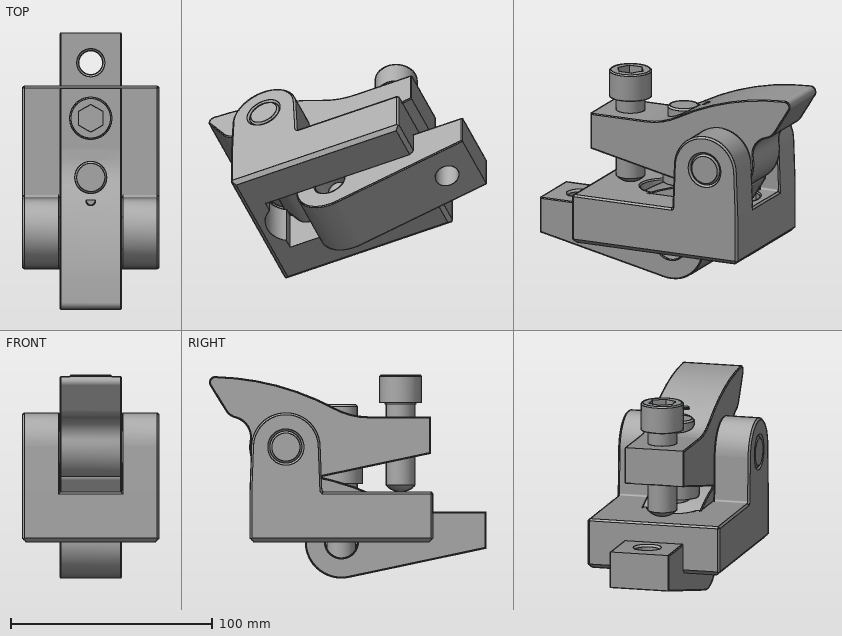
import cadquery as cq
import math


base_width = 68.0
base_back = 73.2
base_front = -17.9
floor_height = 25.0
pivot_height = 47.3
lever_width = 30.5
lever_offset = 27.6
lever_drop = 47.2
pin_diameter = 16.0
pin_chamfer = 1.0

boss_radius = 17.0
boss_draft = 2.5
boss_slot_width = 30.8
edge_chamfer = 1.0
slot_edge_chamfer = 0.7
bottom_chamfer = 2.0
foot_radius = 1.0
bore_chamfer = 1.03
rim_width = 26.0
rim_front = -13.6
rim_back = 51.0
rim_chamfer = 0.7
window_front = -7.2
window_back = 40.2

lever_back = 71.9
lever_top = 15.0
lever_back_bottom = -3.2
heel_radius = 18.0
flat_end = 41.5
crest_start = (24.0, 19.4)
tip_corner = (-40.3, 35.0)
tip_radius = 2.9
throat_radius = 10.0
throat_angle = 170
hook_angle = 91.5
hook_radius = 8.0
lever_chamfer = 0.5
screw_reach = 57.0

screw_diameter = 14.5
head_diameter = 21.0
head_top = 83.0
head_height = 13.6
head_chamfer = 0.7
neck_diameter = 15.4
neck_height = 0.7
hex_flats = 12.0
hex_depth = 6.9
dome_height = 3.3
tapped_diameter = 11.8
countersink_diameter = 14.0

stud_top = 68.5
stud_shoulder = 13.8
stud_shank_diameter = screw_diameter
stud_bottom = -12.4
collar_diameter = head_diameter
collar_bottom = 29.2
collar_height = 12.4
collar_top = collar_bottom + collar_height

notch_diameter = 5.0
notch_chamfer = 0.35
notch_y = 16.1
notch_floor = 70.5


def polar(centre, radius, degrees):
    """The point at an angle on a circle."""
    angle = math.radians(degrees)
    return (centre[0] + radius * math.cos(angle), centre[1] + radius * math.sin(angle))


def upright(diameter, y, bottom, top):
    """A vertical cylinder on the middle plane."""
    return cq.Workplane("XY", origin=(0, y, bottom)).circle(diameter / 2).extrude(top - bottom)


def crosswise(diameter, width):
    """A cylinder along X through the origin, centred on the middle plane."""
    return cq.Workplane("YZ").circle(diameter / 2).extrude(width / 2, both=True)


def cone(mouth, mouth_diameter, end_diameter, depth):
    """A truncated cone that starts on the workplane `mouth` and goes along its normal."""
    wide = mouth.circle(mouth_diameter / 2)
    return wide.workplane(offset=depth).circle(end_diameter / 2).loft()


def edges_near(point, reach=2.0):
    """Selects the edges that lie close to a (Y, Z) point, over the width of a lever."""
    y, z = point
    low_corner = (-lever_width, y - reach, z - reach)
    high_corner = (lever_width, y + reach, z + reach)
    return cq.selectors.BoxSelector(low_corner, high_corner)


def place_upper(body):
    return body.translate((0, 0, pivot_height))


def place_lower(body):
    return body.translate((0, lever_offset, pivot_height - lever_drop))




def lever_blank():
    """A lever without holes, with its pivot at the origin."""
    pivot = (0, 0)
    throat_centre = polar(pivot, heel_radius + throat_radius, throat_angle)
    throat_end = polar(pivot, heel_radius, throat_angle)
    hook_corner = polar(throat_centre, throat_radius, hook_angle)
    back_distance = math.hypot(lever_back, lever_back_bottom)
    back_angle = math.atan2(lever_back_bottom, lever_back)
    heel_angle = math.degrees(back_angle - math.acos(heel_radius / back_distance))
    heel_middle_angle = (throat_angle + heel_angle + 360) / 2
    blank = (
        cq.Workplane("YZ")
        .moveTo(lever_back, lever_top)
        .lineTo(flat_end, lever_top)
        .tangentArcPoint(crest_start, relative=False)
        .tangentArcPoint(tip_corner, relative=False)
        .lineTo(*hook_corner)
        .radiusArc(throat_end, throat_radius)
        .threePointArc(
            polar(pivot, heel_radius, heel_middle_angle),
            polar(pivot, heel_radius, heel_angle),
        )
        .lineTo(lever_back, lever_back_bottom)
        .close()
        .extrude(lever_width / 2, both=True)
    )
    blank = blank.edges("|X").edges(edges_near(tip_corner)).fillet(tip_radius)
    blank = blank.edges("|X").edges(edges_near(hook_corner)).fillet(hook_radius)
    return blank.faces("<X or >X").chamfer(lever_chamfer)


def bored_lever():
    """A lever with its pivot hole, chamfered at both ends."""
    body = lever_blank().cut(crosswise(pin_diameter, lever_width))
    hole_rims = body.edges("%CIRCLE").edges(edges_near((0, 0), pin_diameter))
    return hole_rims.edges(cq.selectors.RadiusNthSelector(0)).chamfer(lever_chamfer)


def upper_lever():
    body = place_upper(bored_lever())
    body = body.cut(upright(screw_diameter, screw_reach, floor_height, head_top))
    body = body.cut(upright(pin_diameter, lever_offset, floor_height, stud_top + heel_radius))
    body = body.cut(upright(collar_diameter, lever_offset, floor_height, collar_top))
    notch = upright(notch_diameter, notch_y, notch_floor, head_top)
    return body.cut(notch.faces("<Z").chamfer(notch_chamfer))


def lower_lever():
    body = place_lower(bored_lever()).cut(place_upper(lever_blank()))

    hole_y = lever_offset + screw_reach
    hole_top = pivot_height - lever_drop + lever_top
    body = body.cut(upright(tapped_diameter, hole_y, -heel_radius, hole_top))
    mouth = cq.Workplane("XY", origin=(0, hole_y, hole_top))
    sink_depth = (countersink_diameter - tapped_diameter) / 2
    body = body.cut(cone(mouth, countersink_diameter, tapped_diameter, -sink_depth))

    body = body.cut(upright(collar_diameter, lever_offset, collar_bottom, pivot_height))
    body = body.cut(upright(pin_diameter, lever_offset, stud_shoulder, collar_bottom))
    return body.cut(upright(stud_shank_diameter, lever_offset, stud_bottom, stud_shoulder))




def plate():
    """The flat lower part of the base."""
    middle = (base_back + base_front) / 2
    slab = (
        cq.Workplane("XY", origin=(0, middle, 0))
        .rect(base_width, base_back - base_front)
        .extrude(floor_height)
    )
    return slab.faces("<Z").chamfer(bottom_chamfer).edges("|Z or >Z").chamfer(edge_chamfer)


def cheek(side):
    """One of the two upright walls that carry the pivot pin, rooted in the plate."""
    pivot = (0, pivot_height)
    root = bottom_chamfer
    foot_y = -base_front
    outer_face, inner_face = (">X", "<X") if side > 0 else ("<X", ">X")
    wall = (
        cq.Workplane("YZ", origin=(side * boss_slot_width / 2, 0, 0))
        .moveTo(base_front, root)
        .lineTo(base_front, floor_height)
        .lineTo(*polar(pivot, boss_radius, 180 - boss_draft))
        .threePointArc(polar(pivot, boss_radius, 90), polar(pivot, boss_radius, boss_draft))
        .lineTo(foot_y, floor_height + foot_radius)
        .radiusArc((foot_y + foot_radius, floor_height), -foot_radius)
        .lineTo(foot_y + foot_radius, root)
        .close()
        .extrude(side * (base_width - boss_slot_width) / 2)
    )
    wall = wall.faces(outer_face).edges("not <Z").chamfer(edge_chamfer)
    wall = wall.faces(inner_face).edges("not <Z").chamfer(slot_edge_chamfer)
    wall = wall.cut(place_upper(crosswise(pin_diameter, base_width)))
    mouth = cq.Workplane("YZ", origin=(side * base_width / 2, 0, pivot_height))
    mouth_diameter = pin_diameter + 2 * bore_chamfer
    return wall.cut(cone(mouth, mouth_diameter, pin_diameter, -side * bore_chamfer))


def slot_fillet(side):
    """The rounded corner between the slot floor and a cheek."""
    start = base_front + edge_chamfer
    return (
        cq.Workplane("XZ", origin=(side * boss_slot_width / 2, start, floor_height))
        .lineTo(-side * foot_radius, 0)
        .radiusArc((0, foot_radius), -side * foot_radius)
        .close()
        .extrude(start - window_front)
    )


def floor_opening():
    """A slot with round ends and a chamfered rim, and the window for the lower lever's tip."""
    rim_middle = (rim_front + rim_back) / 2
    rim_length = rim_back - rim_front
    opening = (
        cq.Workplane("XY", origin=(0, rim_middle, 0))
        .slot2D(rim_length - 2 * rim_chamfer, rim_width - 2 * rim_chamfer, 90)
        .extrude(floor_height)
    )
    rim = (
        cq.Workplane("XY", origin=(0, rim_middle, floor_height))
        .slot2D(rim_length, rim_width, 90)
        .extrude(-rim_chamfer, taper=45)
    )
    window = (
        cq.Workplane("XY", origin=(0, (window_front + window_back) / 2, 0))
        .rect(lever_width, window_back - window_front)
        .extrude(floor_height + foot_radius)
    )
    return opening.union(rim).union(window)


def base():
    body = plate()
    for side in (-1, 1):
        body = body.union(cheek(side)).union(slot_fillet(side))
    return body.cut(floor_opening()).cut(place_lower(lever_blank()))




def pivot_pin():
    pin = crosswise(pin_diameter, base_width).faces("<X or >X").chamfer(pin_chamfer)
    return place_upper(pin)


def socket_screw():
    """The clamping screw, whose domed end rests on the base."""
    head_bottom = head_top - head_height
    head = upright(head_diameter, 0, head_bottom, head_top).faces(">Z").chamfer(head_chamfer)
    socket = (
        cq.Workplane("XY", origin=(0, 0, head_top - hex_depth))
        .transformed(rotate=(0, 0, 30))
        .polygon(6, hex_flats / math.cos(math.radians(30)))
        .extrude(hex_depth)
    )
    radius = screw_diameter / 2
    dome_radius = (radius**2 + dome_height**2) / (2 * dome_height)
    shank = (
        cq.Workplane("XZ")
        .moveTo(0, head_bottom)
        .lineTo(radius, head_bottom)
        .lineTo(radius, floor_height + dome_height)
        .radiusArc((0, floor_height), dome_radius)
        .close()
        .revolve()
    )
    neck = upright(neck_diameter, 0, head_bottom - neck_height, head_bottom)
    return head.cut(socket).union(shank).union(neck).translate((0, screw_reach, 0))


def stud():
    """The stepped vertical stud that runs through both levers."""
    upper_part = upright(pin_diameter, lever_offset, stud_shoulder, stud_top)
    shank = upright(stud_shank_diameter, lever_offset, stud_bottom, stud_shoulder)
    return upper_part.faces(">Z").chamfer(pin_chamfer).union(shank)


def collar():
    """The ring on the stud, recessed into the upper lever."""
    ring = upright(collar_diameter, lever_offset, collar_bottom, collar_top)
    return ring.cut(upright(pin_diameter, lever_offset, collar_bottom, collar_top))


bodies = [
    base(),
    upper_lever(),
    lower_lever(),
    pivot_pin(),
    socket_screw(),
    stud(),
    collar(),
]
result = cq.Compound.makeCompound([body.solids().val() for body in bodies])